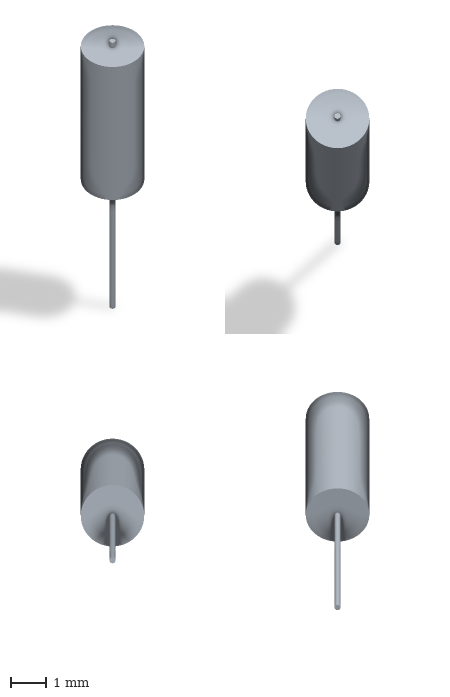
import cadquery as cq

total_length = 10.0
sleeve_diameter = 1.8
sleeve_length = 5.0
pin_diameter = 0.17
pin_top_projection = 0.2

sleeve_top = total_length - pin_top_projection
sleeve_bottom = sleeve_top - sleeve_length


def make_sleeve():
    """Cylindrical sleeve with a through bore that fits the pin."""
    return (
        cq.Workplane("XY")
        .workplane(offset=sleeve_bottom)
        .circle(sleeve_diameter / 2)
        .circle(pin_diameter / 2)
        .extrude(sleeve_length)
    )


def make_pin():
    """Straight round pin running through the sleeve and out of both ends."""
    return cq.Workplane("XY").circle(pin_diameter / 2).extrude(total_length)


sleeve = make_sleeve()
pin = make_pin()

result = cq.Compound.makeCompound([sleeve.val(), pin.val()])